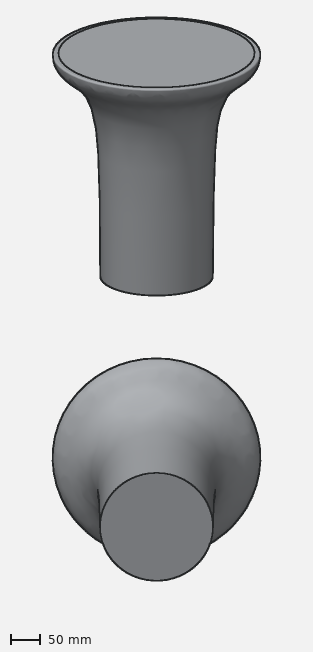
import cadquery as cq
import math

HEIGHT = 400.0
RIM_RADIUS = 175.0
FOOT_RADIUS = 95.0

EDGE_ROUND = 3.0
SEAT_RADIUS = 165.0
SEAT_THICKNESS = 10.0
ROUND_START = HEIGHT - EDGE_ROUND
SEAT_BOTTOM = HEIGHT - SEAT_THICKNESS

NECK_POINTS = [
    (96.8, 160.0),
    (100.5, 246.0),
    (110.0, 304.0),
    (122.8, 333.0),
    (142.0, 355.0),
    (166.5, 375.5),
]
UPWARD = (0, 1)


def make_pedestal():
    """Solid of revolution with a flared top and a round recess for the seat."""
    round_middle = EDGE_ROUND * math.sqrt(0.5)
    round_center_radius = RIM_RADIUS - EDGE_ROUND
    return (
        cq.Workplane("XZ")
        .lineTo(FOOT_RADIUS, 0)
        .spline(
            [*NECK_POINTS, (RIM_RADIUS, ROUND_START)],
            tangents=[UPWARD, UPWARD],
            includeCurrent=True,
        )
        .threePointArc(
            (round_center_radius + round_middle, ROUND_START + round_middle),
            (round_center_radius, HEIGHT),
        )
        .lineTo(SEAT_RADIUS, HEIGHT)
        .lineTo(SEAT_RADIUS, SEAT_BOTTOM)
        .lineTo(0, SEAT_BOTTOM)
        .close()
        .revolve(360, (0, 0), (0, 1))
    )


def make_seat():
    """Flat disc that fills the recess flush with the rim."""
    return (
        cq.Workplane("XY")
        .workplane(offset=SEAT_BOTTOM)
        .circle(SEAT_RADIUS)
        .extrude(SEAT_THICKNESS)
    )


pedestal = make_pedestal()
seat = make_seat()

result = cq.Compound.makeCompound([pedestal.val(), seat.val()])